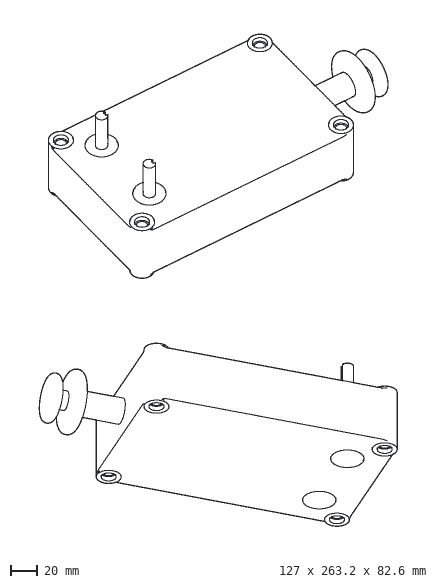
import cadquery as cq
import math

HOUSING_WIDTH = 127.0
HOUSING_LENGTH = 203.2
PAD_HEIGHT = 2.54
OVERALL_HEIGHT = 50.8
HOUSING_HEIGHT = OVERALL_HEIGHT - 2 * PAD_HEIGHT

PAD_FILLET = PAD_HEIGHT / 2
CORNER_RADIUS = 9.525
PIN_PAD_RADIUS = 12.7

BOLT_HOLE_DIAMETER = 8.73
COUNTERBORE_DIAMETER = 11.43
COUNTERBORE_DEPTH = 3.81

PIN_DIAMETER = 9.525
PIN_LENGTH = 31.75
PIN_SPACING = 63.5
PIN_EDGE_DISTANCE = 31.75
KEYWAY_WIDTH = 3.175
KEYWAY_FLOOR_OFFSET = 2.9
KEYWAY_LENGTH = 25.4

PLUNGER_LENGTH = 60.02
SHAFT_DIAMETER = 20.32
FLANGE_DIAMETER = 50.8
FLANGE_THICKNESS = 10.16
NECK_DIAMETER = 15.24
NECK_LENGTH = 7.62
KNOB_DIAMETER = 38.86
KNOB_THICKNESS = 7.8
SHAFT_LENGTH = PLUNGER_LENGTH - FLANGE_THICKNESS - NECK_LENGTH - KNOB_THICKNESS

CORNER_POINTS = [
    (side * (HOUSING_WIDTH / 2 - CORNER_RADIUS), end * (HOUSING_LENGTH / 2 - CORNER_RADIUS))
    for side in (-1, 1)
    for end in (-1, 1)
]
PIN_POINTS = [(side * PIN_SPACING / 2, PIN_EDGE_DISTANCE - HOUSING_LENGTH / 2) for side in (-1, 1)]


def rounded_block(height):
    """Block with the housing outline, centred on the origin."""
    return cq.Workplane("XY").box(HOUSING_WIDTH, HOUSING_LENGTH, height).edges("|Z").fillet(CORNER_RADIUS)


def pad_pair(radius, point):
    """Spool through the housing: a pad on each face, flaring into it with a concave fillet."""
    face = HOUSING_HEIGHT / 2
    top = OVERALL_HEIGHT / 2
    flare_radius = radius + PAD_FILLET
    fillet_top = face + PAD_FILLET
    arc_reach = PAD_FILLET * (1 - math.sqrt(0.5))
    profile = (
        cq.Workplane("XZ")
        .moveTo(0, -top)
        .lineTo(radius, -top)
        .lineTo(radius, -fillet_top)
        .threePointArc((radius + arc_reach, -face - arc_reach), (flare_radius, -face))
        .lineTo(flare_radius, face)
        .threePointArc((radius + arc_reach, face + arc_reach), (radius, fillet_top))
        .lineTo(radius, top)
        .lineTo(0, top)
        .close()
    )
    return profile.revolve(360, (0, 0), (0, 1)).translate((*point, 0))


def make_housing():
    """Block with corner pads trimmed to the housing outline, and pin pads."""
    right_rear_point = (HOUSING_WIDTH / 2 - CORNER_RADIUS, HOUSING_LENGTH / 2 - CORNER_RADIUS)
    right_rear = pad_pair(CORNER_RADIUS, right_rear_point).intersect(rounded_block(OVERALL_HEIGHT))
    left_rear = right_rear.mirror("YZ")
    housing = rounded_block(HOUSING_HEIGHT)
    for rear_pad in (right_rear, left_rear):
        housing = housing.union(rear_pad).union(rear_pad.mirror("XZ"))
    for point in PIN_POINTS:
        housing = housing.union(pad_pair(PIN_PAD_RADIUS, point))
    return housing


def bolt_holes():
    """Through holes at the corners with a counterbore at each end."""
    bottom = cq.Workplane("XY", origin=(0, 0, -OVERALL_HEIGHT / 2)).pushPoints(CORNER_POINTS)
    top = cq.Workplane("XY", origin=(0, 0, OVERALL_HEIGHT / 2)).pushPoints(CORNER_POINTS)
    through = bottom.circle(BOLT_HOLE_DIAMETER / 2).extrude(OVERALL_HEIGHT)
    lower_bores = bottom.circle(COUNTERBORE_DIAMETER / 2).extrude(COUNTERBORE_DEPTH)
    upper_bores = top.circle(COUNTERBORE_DIAMETER / 2).extrude(-COUNTERBORE_DEPTH)
    return through.union(lower_bores).union(upper_bores)


def make_pin(point):
    """Pin with a keyway on its +Y side, open at the free end."""
    pin = cq.Workplane("XY").circle(PIN_DIAMETER / 2).extrude(PIN_LENGTH)
    keyway = (
        cq.Workplane("XY", origin=(0, KEYWAY_FLOOR_OFFSET, PIN_LENGTH))
        .rect(KEYWAY_WIDTH, PIN_DIAMETER)
        .extrude(-KEYWAY_LENGTH)
        .translate((0, PIN_DIAMETER / 2, 0))
    )
    return pin.cut(keyway).translate((*point, OVERALL_HEIGHT / 2))


def make_plunger():
    """Turned shaft with a round-rimmed flange and knob along +Y."""
    shaft_radius = SHAFT_DIAMETER / 2
    neck_radius = NECK_DIAMETER / 2
    flange_start = HOUSING_LENGTH / 2 + SHAFT_LENGTH
    flange_end = flange_start + FLANGE_THICKNESS
    knob_start = flange_end + NECK_LENGTH
    knob_end = knob_start + KNOB_THICKNESS
    flange_flat = (FLANGE_DIAMETER - FLANGE_THICKNESS) / 2
    knob_flat = (KNOB_DIAMETER - KNOB_THICKNESS) / 2
    profile = (
        cq.Workplane("XY")
        .moveTo(0, HOUSING_LENGTH / 2)
        .lineTo(shaft_radius, HOUSING_LENGTH / 2)
        .lineTo(shaft_radius, flange_start)
        .lineTo(flange_flat, flange_start)
        .threePointArc((FLANGE_DIAMETER / 2, (flange_start + flange_end) / 2), (flange_flat, flange_end))
        .lineTo(neck_radius, flange_end)
        .lineTo(neck_radius, knob_start)
        .lineTo(knob_flat, knob_start)
        .threePointArc((KNOB_DIAMETER / 2, (knob_start + knob_end) / 2), (knob_flat, knob_end))
        .lineTo(0, knob_end)
        .close()
    )
    return profile.revolve(360, (0, 0), (0, 1)).rotate((0, 0, 0), (0, 1, 0), 180)


result = make_housing().cut(bolt_holes()).union(make_plunger())
for pin_point in PIN_POINTS:
    result = result.union(make_pin(pin_point))